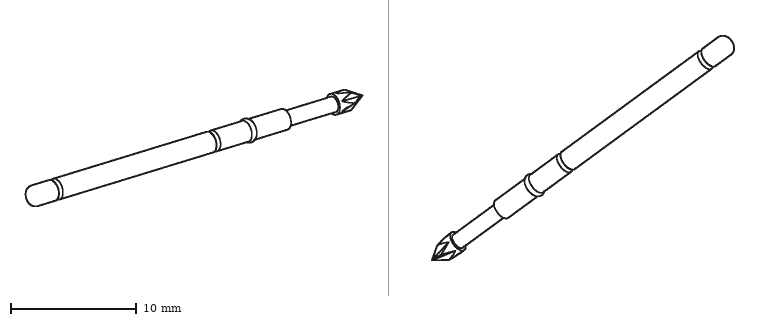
import math

import cadquery as cq

TOTAL_LENGTH = 34.0

BARREL_LENGTH = 26.0
BARREL_RADIUS = 0.875
END_ROUND_RADIUS = 0.5

RING_POSITION = 22.25
RING_OUTER_RADIUS = 1.0
RING_WIDTH = 0.5

GROOVE_POSITIONS = (2.5, 18.6)
GROOVE_WIDTH = 0.4
GROOVE_DEPTH = 0.17
GROOVE_WALL_RADIUS = 0.2

PLUNGER_RADIUS = 0.65
HEAD_LENGTH = 3.0
HEAD_RADIUS = BARREL_RADIUS
FLUTE_COUNT = 6
RIDGE_HALF_ANGLE = 30.0
FLUTE_LENGTH = 2.7


def turned(profile):
    """Solid of revolution about the part's Y axis from a closed (Y, Z) profile."""
    return profile.revolve(360, (0, 0, 0), (1, 0, 0))


def rod(radius, start, end):
    """Round rod along Y."""
    profile = cq.Workplane("YZ").moveTo(start, 0).lineTo(start, radius)
    profile = profile.lineTo(end, radius).lineTo(end, 0).close()
    return turned(profile)


def ring():
    """Press ring whose outside is an arc over the ring width."""
    start = RING_POSITION - RING_WIDTH / 2
    end = RING_POSITION + RING_WIDTH / 2
    profile = cq.Workplane("YZ").moveTo(start, 0).lineTo(start, BARREL_RADIUS)
    profile = profile.threePointArc((RING_POSITION, RING_OUTER_RADIUS), (end, BARREL_RADIUS))
    profile = profile.lineTo(end, 0).close()
    return turned(profile)


def groove_cutter(position):
    """Ring-shaped cutter for a groove with two hollow walls meeting at a faint crease."""
    start = position - GROOVE_WIDTH / 2
    end = position + GROOVE_WIDTH / 2
    profile = cq.Workplane("YZ").moveTo(start, BARREL_RADIUS)
    profile = profile.radiusArc((position, BARREL_RADIUS - GROOVE_DEPTH), -GROOVE_WALL_RADIUS)
    profile = profile.radiusArc((end, BARREL_RADIUS), -GROOVE_WALL_RADIUS)
    profile = profile.lineTo(end, RING_OUTER_RADIUS).lineTo(start, RING_OUTER_RADIUS).close()
    return turned(profile)


def barrel():
    body = rod(BARREL_RADIUS, 0, BARREL_LENGTH)
    body = body.faces("<Y").edges().fillet(END_ROUND_RADIUS)
    body = body.union(ring())
    for position in GROOVE_POSITIONS:
        body = body.cut(groove_cutter(position))
    return body


def star_pyramid():
    """Star-based pyramid with its apex at the tip; one ridge points along +X."""
    base_y = TOTAL_LENGTH - HEAD_LENGTH
    ridge_radius = HEAD_LENGTH * math.tan(math.radians(RIDGE_HALF_ANGLE))
    flute_radius = HEAD_LENGTH * HEAD_RADIUS / FLUTE_LENGTH
    apex = cq.Vector(0, TOTAL_LENGTH, 0)

    corners = []
    for i in range(2 * FLUTE_COUNT):
        angle = i * math.pi / FLUTE_COUNT
        radius = ridge_radius if i % 2 == 0 else flute_radius
        corners.append(cq.Vector(radius * math.cos(angle), base_y, radius * math.sin(angle)))

    faces = [cq.Face.makeFromWires(cq.Wire.makePolygon(corners, close=True))]
    for corner, next_corner in zip(corners, corners[1:] + corners[:1]):
        side = cq.Wire.makePolygon([corner, next_corner, apex], close=True)
        faces.append(cq.Face.makeFromWires(side))
    return cq.Workplane(cq.Solid.makeSolid(cq.Shell.makeShell(faces)))


def head():
    blank = rod(HEAD_RADIUS, TOTAL_LENGTH - HEAD_LENGTH, TOTAL_LENGTH)
    return blank.intersect(star_pyramid())


def plunger():
    shaft = rod(PLUNGER_RADIUS, BARREL_LENGTH, TOTAL_LENGTH - HEAD_LENGTH)
    return shaft.union(head())


result = barrel().union(plunger())